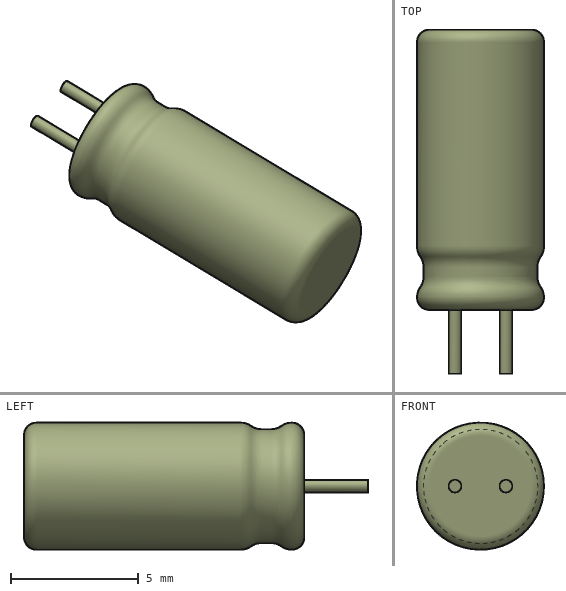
import cadquery as cq

total_length = 13.5
lead_length = 2.5
body_length = total_length - lead_length
body_radius = 2.5
edge_radius = 0.5

groove_depth = 0.25
groove_floor_width = 0.4
groove_side_width = 0.8

lead_diameter = 0.5
lead_spacing = 2.0
lead_embed = 0.14


def make_body():
    """Revolve the grooved can profile about the Y axis."""
    floor_radius = body_radius - groove_depth
    middle_radius = body_radius - groove_depth / 2
    floor_start = edge_radius + groove_side_width
    floor_end = floor_start + groove_floor_width
    groove_end = floor_end + groove_side_width
    face_radius = body_radius - edge_radius
    along_axis = (0, 1)

    profile = (
        cq.Workplane("XY")
        .lineTo(face_radius, 0)
        .radiusArc((body_radius, edge_radius), -edge_radius)
        .tangentArcPoint((middle_radius, floor_start - groove_side_width / 2), relative=False)
        .tangentArcPoint((floor_radius, floor_start), relative=False)
        .lineTo(floor_radius, floor_end)
        .tangentArcPoint((middle_radius, floor_end + groove_side_width / 2), relative=False)
        .tangentArcPoint((body_radius, groove_end), relative=False)
        .lineTo(body_radius, body_length - edge_radius)
        .radiusArc((face_radius, body_length), -edge_radius)
        .lineTo(0, body_length)
        .close()
    )
    return profile.revolve(360, (0, 0), along_axis)


def make_leads():
    """Two round leads, side by side along X."""
    return (
        cq.Workplane("XZ", origin=(0, lead_embed, 0))
        .pushPoints([(-lead_spacing / 2, 0), (lead_spacing / 2, 0)])
        .circle(lead_diameter / 2)
        .extrude(lead_length + lead_embed)
    )


result = make_body().union(make_leads())